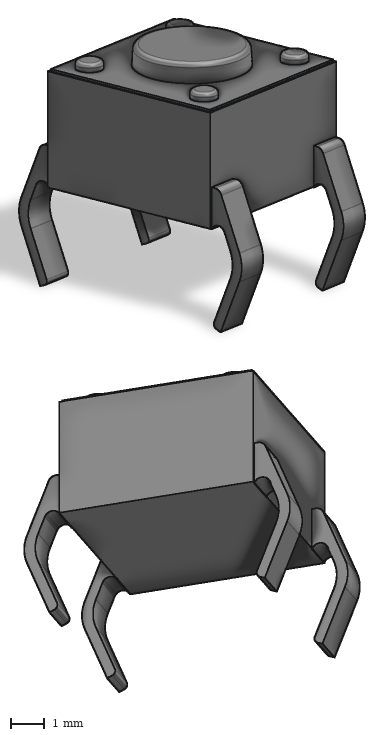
import cadquery as cq
import math

body_length = 6.11
body_width = 5.99
body_height = 3.62
cover_inset = 0.07
cover_thickness = 0.07
cover_top = body_height + cover_thickness

button_base_radius = 1.78
button_height = 0.64
button_taper = 4.0
button_rim_radius = 0.16

rivet_diameter = 0.845
rivet_height = 0.27
rivet_rim_radius = 0.125
rivet_offset = 2.15

overall_height = 7.48
leg_span = 8.37
leg_width = 1.02
leg_outer_face = body_width / 2 - cover_inset
leg_lean = math.radians(22.3)
leg_thickness = 0.35
bend_radius = 1.18
bend_z = -0.99
outer_bend = (leg_span / 2 - bend_radius, bend_z)
inner_bend = (outer_bend[0] - leg_thickness, bend_z)
leg_top = 1.28
leg_bottom = cover_top + button_height - overall_height
shoulder_radius = 0.26
undercut_radius = 0.26
undercut_z = -0.125
tip_radius = 0.15


def around(center, radius, angle):
    """Point at a radius and angle from a center in the XZ plane."""
    return (center[0] + radius * math.cos(angle), center[1] + radius * math.sin(angle))


def above_bend(bend, radius, z):
    """Point at height z on the upper strip line that touches a circle around the bend center."""
    start = around(bend, radius, leg_lean)
    return (start[0] - (z - start[1]) * math.tan(leg_lean), z)


def below_bend(bend, length):
    """Point this far down the lower strip line that leaves the bend."""
    start = around(bend, bend_radius, -leg_lean)
    return (start[0] - length * math.sin(leg_lean), start[1] - length * math.cos(leg_lean))


def make_housing():
    block = cq.Workplane("XY").box(body_length, body_width, body_height, centered=(True, True, False))
    return (
        block.faces(">Z")
        .workplane()
        .rect(body_length - 2 * cover_inset, body_width - 2 * cover_inset)
        .extrude(cover_thickness)
    )


def make_button():
    return (
        cq.Workplane("XY", origin=(0, 0, cover_top))
        .circle(button_base_radius)
        .extrude(button_height, taper=button_taper)
        .faces(">Z")
        .edges()
        .fillet(button_rim_radius)
    )


def make_rivets():
    return (
        cq.Workplane("XY", origin=(0, 0, cover_top))
        .rect(2 * rivet_offset, 2 * rivet_offset, forConstruction=True)
        .vertices()
        .circle(rivet_diameter / 2)
        .extrude(rivet_height)
        .faces(">Z")
        .edges()
        .fillet(rivet_rim_radius)
    )


def make_leg():
    """Leg on the +X side, with its outer face toward +Y."""
    wall_x = body_length / 2
    shoulder = above_bend(outer_bend, bend_radius - shoulder_radius, leg_top - shoulder_radius)
    undercut = above_bend(inner_bend, bend_radius - undercut_radius, undercut_z)
    undercut_start = math.acos((wall_x - undercut[0]) / undercut_radius)
    shoulder_middle = (math.pi / 2 + leg_lean) / 2
    undercut_middle = (undercut_start + leg_lean) / 2

    bend_end_z = bend_z - bend_radius * math.sin(leg_lean)
    outer_length = (bend_end_z - leg_bottom) / math.cos(leg_lean)
    inner_length = outer_length - leg_thickness * math.sin(leg_lean)
    inner_tip = below_bend(inner_bend, inner_length)

    profile = (
        cq.Workplane("XZ", origin=(0, leg_outer_face, 0))
        .moveTo(wall_x, leg_top)
        .lineTo(shoulder[0], leg_top)
        .threePointArc(
            around(shoulder, shoulder_radius, shoulder_middle),
            around(shoulder, shoulder_radius, leg_lean),
        )
        .lineTo(*around(outer_bend, bend_radius, leg_lean))
        .threePointArc(
            around(outer_bend, bend_radius, 0),
            around(outer_bend, bend_radius, -leg_lean),
        )
        .lineTo(*below_bend(outer_bend, outer_length))
        .lineTo(*inner_tip)
        .lineTo(*around(inner_bend, bend_radius, -leg_lean))
        .threePointArc(
            around(inner_bend, bend_radius, 0),
            around(inner_bend, bend_radius, leg_lean),
        )
        .lineTo(*around(undercut, undercut_radius, leg_lean))
        .threePointArc(
            around(undercut, undercut_radius, undercut_middle),
            around(undercut, undercut_radius, undercut_start),
        )
        .close()
    )
    tip_edge = cq.selectors.NearestToPointSelector(
        (inner_tip[0], leg_outer_face - leg_width / 2, inner_tip[1])
    )
    return profile.extrude(leg_width).edges("|Y").edges(tip_edge).fillet(tip_radius)


leg = make_leg()
leg_pair = leg.union(leg.mirror("XZ"))
result = (
    make_housing()
    .union(make_button())
    .union(make_rivets())
    .union(leg_pair)
    .union(leg_pair.mirror("YZ"))
)